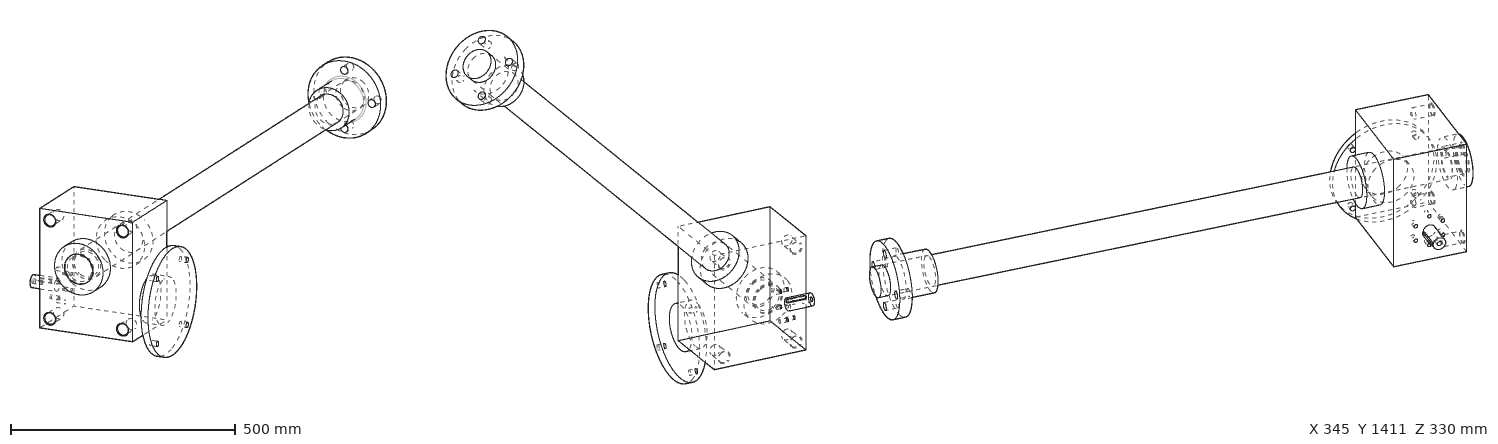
import cadquery as cq
import math


housing_width = 230.0
housing_depth = 175.0
housing_height = 280.0
housing_bottom = -75.0
housing_left = -housing_width / 2
housing_right = housing_width / 2
housing_center_y = -2.0
housing_front = housing_center_y - housing_depth / 2
housing_rear = housing_center_y + housing_depth / 2
housing_middle = housing_bottom + housing_height / 2

boss_diameter = 120.0
boss_front_length = 37.5
boss_rear_length = 42.5
boss_front = housing_front - boss_front_length
boss_rear = housing_rear + boss_rear_length

screw_height = 90.0
screw_diameter = 70.0
screw_length = 1411.0
screw_protrusion = 1.0
screw_front = boss_front - screw_protrusion
screw_rear = screw_front + screw_length
screw_end_length = 5.0
screw_seat_diameter = 60.0
screw_seat_length = 35.0

mount_hole_diameter = 26.21
mount_chamfer_diameter = 30.0
mount_hole_depth = 45.0
mount_spacing_x = 180.0
mount_spacing_z = 230.0
cover_hole_count = 6
cover_hole_diameter = 8.38
cover_hole_depth = 20.0
cover_circle_radius = 37.5
cover_hole_start_angle = 90.0
drill_tip_angle = 118.0

shaft_diameter = 30.0
shaft_length = 60.0
shaft_end = housing_left - shaft_length
center_hole_diameter = 10.11
center_hole_depth = 22.0
key_width = 8.0
key_height = 7.0
key_rise = 3.3
key_length = 50.0
key_end_gap = 5.0

adapter_length = 55.0
motor_flange_thickness = 17.0
neck_diameter = 110.0
neck_length = adapter_length - motor_flange_thickness
motor_flange_diameter = 250.0
motor_hole_count = 4
motor_hole_diameter = 12.0
motor_hole_circle_radius = 107.5
motor_hole_start_angle = 45.0

nut_setback = 23.0
nut_flange_diameter = 180.0
nut_flange_thickness = 30.0
nut_body_diameter = 100.0
nut_body_length = 78.0
nut_flange_rear = screw_rear - nut_setback
nut_flange_front = nut_flange_rear - nut_flange_thickness
nut_front = nut_flange_front - nut_body_length
nut_hole_count = 4
nut_hole_diameter = 18.0
nut_hole_circle_radius = 68.0
nut_root_fillet = 4.0


def cylinder_x(diameter, start, end, y=0.0, z=0.0):
    plane = cq.Workplane("YZ", origin=(start, y, z))
    return plane.circle(diameter / 2).extrude(end - start)


def cylinder_y(diameter, start, end, x=0.0, z=0.0):
    plane = cq.Workplane("XZ", origin=(x, start, z))
    return plane.circle(diameter / 2).extrude(start - end)


def drilled_hole(diameter, depth, origin, direction):
    """Blind hole with a conical drill tip below its full-diameter depth."""
    radius = diameter / 2
    tip_length = radius / math.tan(math.radians(drill_tip_angle / 2))
    bore = cq.Solid.makeCylinder(radius, depth, origin, direction)
    tip = cq.Solid.makeCone(radius, 0, tip_length, origin + direction * depth, direction)
    return cq.Workplane(bore).union(cq.Workplane(tip))


def mount_hole(x, z):
    """Tapped hole in the front face with a 45 degree entry chamfer."""
    origin = cq.Vector(x, housing_front, z)
    inward = cq.Vector(0, 1, 0)
    hole = drilled_hole(mount_hole_diameter, mount_hole_depth, origin, inward)
    chamfer = cq.Solid.makeCone(
        mount_chamfer_diameter / 2,
        mount_hole_diameter / 2,
        (mount_chamfer_diameter - mount_hole_diameter) / 2,
        origin,
        inward,
    )
    return hole.union(cq.Workplane(chamfer))


def make_housing():
    block = cq.Workplane("XY").box(housing_width, housing_depth, housing_height)
    block = block.translate((0, housing_center_y, housing_middle))
    block = block.union(cylinder_y(boss_diameter, boss_front, boss_rear, z=screw_height))
    for x in (-mount_spacing_x / 2, mount_spacing_x / 2):
        for z in (housing_middle - mount_spacing_z / 2, housing_middle + mount_spacing_z / 2):
            block = block.cut(mount_hole(x, z))
    for i in range(cover_hole_count):
        angle = math.radians(cover_hole_start_angle + 360 * i / cover_hole_count)
        y = cover_circle_radius * math.cos(angle)
        z = cover_circle_radius * math.sin(angle)
        origin = cq.Vector(housing_left, y, z)
        hole = drilled_hole(cover_hole_diameter, cover_hole_depth, origin, cq.Vector(1, 0, 0))
        block = block.cut(hole)
    return block


def make_screw():
    seat_front = screw_front + screw_end_length
    seat_rear = seat_front + screw_seat_length
    end = cylinder_y(screw_diameter, screw_front, seat_front, z=screw_height)
    seat = cylinder_y(screw_seat_diameter, seat_front, seat_rear, z=screw_height)
    spindle = cylinder_y(screw_diameter, seat_rear, screw_rear, z=screw_height)
    return end.union(seat).union(spindle)


def make_nut():
    """Flanged sleeve revolved about the screw axis, with a fillet at the flange root."""
    bore_radius = screw_diameter / 2
    body_radius = nut_body_diameter / 2
    flange_radius = nut_flange_diameter / 2
    nut = (
        cq.Workplane("XY")
        .moveTo(bore_radius, nut_front)
        .lineTo(body_radius, nut_front)
        .lineTo(body_radius, nut_flange_front - nut_root_fillet)
        .radiusArc((body_radius + nut_root_fillet, nut_flange_front), nut_root_fillet)
        .lineTo(flange_radius, nut_flange_front)
        .lineTo(flange_radius, nut_flange_rear)
        .lineTo(bore_radius, nut_flange_rear)
        .close()
        .revolve(360, (0, 0, 0), (0, 1, 0))
        .translate((0, 0, screw_height))
    )
    for i in range(nut_hole_count):
        angle = math.radians(360 * i / nut_hole_count)
        x = nut_hole_circle_radius * math.cos(angle)
        z = screw_height + nut_hole_circle_radius * math.sin(angle)
        nut = nut.cut(cylinder_y(nut_hole_diameter, nut_flange_front, nut_flange_rear, x=x, z=z))
    return nut


def make_key():
    """Round-ended key whose top stands proud of the shaft surface."""
    key = cq.Workplane("XZ").slot2D(key_length, key_width).extrude(key_height)
    x = shaft_end + key_end_gap + key_length / 2
    return key.translate((x, shaft_diameter / 2 + key_rise, 0))


def make_shaft():
    shaft = cylinder_x(shaft_diameter, shaft_end, housing_left)
    end_face = cq.Vector(shaft_end, 0, 0)
    center_hole = drilled_hole(center_hole_diameter, center_hole_depth, end_face, cq.Vector(1, 0, 0))
    shaft = shaft.cut(center_hole)
    return shaft.union(make_key())


def make_adapter():
    neck_end = housing_right + neck_length
    flange_end = neck_end + motor_flange_thickness
    adapter = cylinder_x(neck_diameter, housing_right, neck_end)
    adapter = adapter.union(cylinder_x(motor_flange_diameter, neck_end, flange_end))
    for i in range(motor_hole_count):
        angle = math.radians(motor_hole_start_angle + 360 * i / motor_hole_count)
        y = motor_hole_circle_radius * math.cos(angle)
        z = motor_hole_circle_radius * math.sin(angle)
        adapter = adapter.cut(cylinder_x(motor_hole_diameter, neck_end, flange_end, y=y, z=z))
    return adapter


screw = make_screw()
housing = make_housing().cut(screw)
nut = make_nut()
shaft = make_shaft()
adapter = make_adapter()

result = cq.Compound.makeCompound([
    housing.val(),
    screw.val(),
    nut.val(),
    shaft.val(),
    adapter.val(),
])